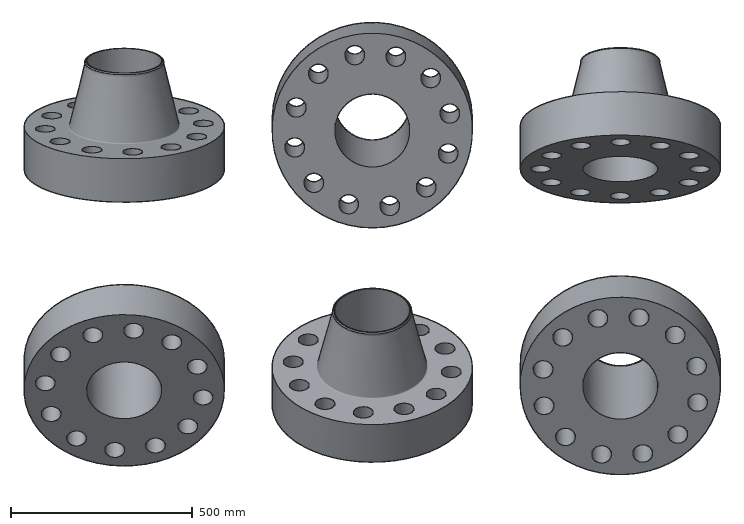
import cadquery as cq

plate_diameter = 552.5
plate_thickness = 127.0
total_height = 317.5

bolt_circle_diameter = 438.0
bolt_hole_diameter = 54.0
bolt_hole_count = 12

bore_diameter = 206.5
hub_base_diameter = 304.0
hub_root_fillet = 3.5
neck_diameter = 218.5
neck_height = 10.0
weld_bevel_height = 3.5
weld_bevel_width = 3.5


def make_body():
    """Revolve the plate and hub as one solid of revolution about Z."""
    plate_radius = plate_diameter / 2
    neck_radius = neck_diameter / 2
    bore_radius = bore_diameter / 2
    cone_top = total_height - neck_height
    return (
        cq.Workplane("XZ")
        .moveTo(bore_radius, 0)
        .lineTo(plate_radius, 0)
        .lineTo(plate_radius, plate_thickness)
        .lineTo(hub_base_diameter / 2, plate_thickness)
        .lineTo(neck_radius, cone_top)
        .lineTo(neck_radius, total_height - weld_bevel_height)
        .lineTo(neck_radius - weld_bevel_width, total_height)
        .lineTo(bore_radius, total_height)
        .close()
        .revolve(360, (0, 0, 0), (0, 1, 0))
    )


def add_root_fillet(body):
    """Round the inner corner where the hub meets the plate."""
    reach = hub_base_diameter / 2 + hub_root_fillet
    root = cq.selectors.BoxSelector(
        (-reach, -reach, plate_thickness - hub_root_fillet),
        (reach, reach, plate_thickness + hub_root_fillet),
        boundingbox=True,
    )
    return body.edges("%CIRCLE").edges(root).fillet(hub_root_fillet)


def cut_bolt_holes(body):
    """Cut the ring of plain through holes."""
    holes = (
        cq.Workplane("XY")
        .polarArray(bolt_circle_diameter / 2, 0, 360, bolt_hole_count)
        .circle(bolt_hole_diameter / 2)
        .extrude(plate_thickness)
    )
    return body.cut(holes)


body = add_root_fillet(make_body())
result = cut_bolt_holes(body)